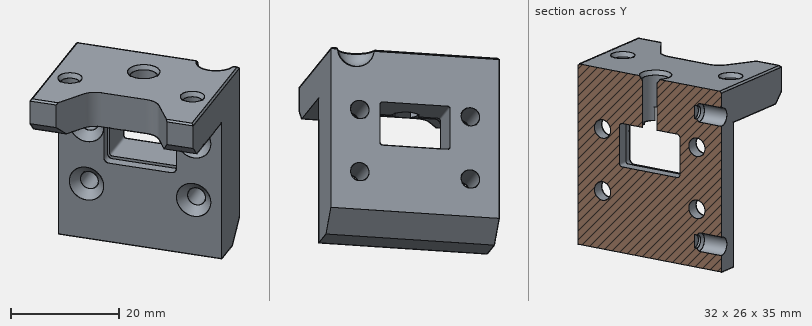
import cadquery as cq
import math

width = 32.0
arm_reach = 26.0
height = 35.0
plate_thickness = 10.0
arm_thickness = 7.0
back_bevel = 4.0
arm_tip_bevel = 2.0
top_edge_chamfer = 0.35
front_face_y = -plate_thickness

notch_mouth_width = 21.7
notch_depth = 7.0
notch_flank_angle = 57.5
notch_corner_radius = 3.5

screw_spacing_x = 21.0
screw_rows_z = (-11.75, -23.75)
screw_diameter = 3.5
screw_head_diameter = 6.72
screw_head_angle = 90.0

window_width = 13.3
window_top_z = -10.0
window_bottom_z = -18.3
window_corner_radius = 0.5
recess_width = 14.2
recess_top_z = -9.6
recess_bottom_z = -18.85
recess_corner_radius = 1.0
recess_depth = 2.0

rim_cone_angle = 60.0
center_hole_diameter = 5.04
center_hole_rim_diameter = 6.0
center_hole_y = -7.95
arm_hole_diameter = 3.5
arm_hole_rim_diameter = 4.5
arm_hole_spacing = 24.0
arm_hole_y = -15.0

side_hole_y = -6.0
side_holes_z = (-5.0, -30.0)
side_hole_diameter = 3.5
side_hole_depth = 5.0
side_pilot_diameter = 2.5
side_pilot_depth = 6.0

relief_x = 11.25
relief_y = 0.4
relief_radius = 3.5
relief_rim_width = 0.25


def bracket_body():
    """L-shaped side outline, extruded across the width, with chamfered top edges."""
    outline = [
        (0, 0),
        (-arm_reach, 0),
        (-arm_reach, arm_tip_bevel - arm_thickness),
        (arm_tip_bevel - arm_reach, -arm_thickness),
        (front_face_y, -arm_thickness),
        (front_face_y, -height),
        (-back_bevel, -height),
        (0, back_bevel - height),
    ]
    body = cq.Workplane("YZ").polyline(outline).close().extrude(width / 2, both=True)
    return body.faces(">Z").edges().chamfer(top_edge_chamfer)


def arm_notch():
    """Trapezoidal notch with rounded inner corners, open at the arm tip."""
    half_mouth = notch_mouth_width / 2
    half_floor = half_mouth - notch_depth / math.tan(math.radians(notch_flank_angle))
    floor_y = notch_depth - arm_reach
    outline = [
        (-half_mouth, -arm_reach),
        (half_mouth, -arm_reach),
        (half_floor, floor_y),
        (-half_floor, floor_y),
    ]
    notch = cq.Workplane("XY").polyline(outline).close().extrude(-arm_thickness)
    return notch.edges("|Z and >Y").fillet(notch_corner_radius)


def cone_depth(large_diameter, small_diameter, included_angle):
    return (large_diameter - small_diameter) / 2 / math.tan(math.radians(included_angle / 2))


def cone_frustum(start_diameter, end_diameter, length, start, direction):
    origin = cq.Vector(*start)
    axis = cq.Vector(*direction)
    return cq.Workplane(cq.Solid.makeCone(start_diameter / 2, end_diameter / 2, length, origin, axis))


def cylinder(diameter, length, start, direction):
    return cq.Workplane(cq.Solid.makeCylinder(diameter / 2, length, cq.Vector(*start), cq.Vector(*direction)))


def screw_hole(x, z):
    """Through hole along Y with a countersink in the front face."""
    start = (x, front_face_y, z)
    head_depth = cone_depth(screw_head_diameter, screw_diameter, screw_head_angle)
    shank = cylinder(screw_diameter, plate_thickness, start, (0, 1, 0))
    return shank.union(cone_frustum(screw_head_diameter, screw_diameter, head_depth, start, (0, 1, 0)))


def rounded_opening(opening_width, top_z, bottom_z, corner_radius, depth):
    """Rounded rectangular block reaching back from the front face."""
    block = cq.Workplane("XY").box(opening_width, depth, top_z - bottom_z)
    block = block.edges("|Y").fillet(corner_radius)
    return block.translate((0, front_face_y + depth / 2, (top_z + bottom_z) / 2))


def top_hole(x, y, diameter, rim_diameter, depth):
    """Vertical hole with a conical rim at the top face."""
    rim_depth = cone_depth(rim_diameter, diameter, rim_cone_angle)
    bore = cylinder(diameter, depth, (x, y, 0), (0, 0, -1))
    return bore.union(cone_frustum(rim_diameter, diameter, rim_depth, (x, y, 0), (0, 0, -1)))


def side_hole(z):
    """Blind hole from the -X side that tapers at 45 degrees to a short pilot bore."""
    taper = (side_hole_diameter - side_pilot_diameter) / 2
    start_x = -width / 2
    bore = cylinder(side_hole_diameter, side_hole_depth, (start_x, side_hole_y, z), (1, 0, 0))
    taper_start = (start_x + side_hole_depth, side_hole_y, z)
    cone = cone_frustum(side_hole_diameter, side_pilot_diameter, taper, taper_start, (1, 0, 0))
    pilot = cylinder(side_pilot_diameter, side_pilot_depth, (start_x, side_hole_y, z), (1, 0, 0))
    return bore.union(cone).union(pilot)


def back_relief():
    """Spherical scoop in the back top edge with a chamfered rim."""
    scoop = cq.Workplane("XY").sphere(relief_radius).translate((relief_x, relief_y, 0))
    rim_diameter = 2 * (relief_radius + relief_rim_width)
    rim_start = (relief_x, relief_y, 0)
    rim = cone_frustum(rim_diameter, 2 * relief_radius, relief_rim_width, rim_start, (0, 0, -1))
    return scoop.union(rim)


result = bracket_body().cut(arm_notch())

for side in (-1, 1):
    for row_z in screw_rows_z:
        result = result.cut(screw_hole(side * screw_spacing_x / 2, row_z))
    arm_hole_x = side * arm_hole_spacing / 2
    result = result.cut(top_hole(arm_hole_x, arm_hole_y, arm_hole_diameter, arm_hole_rim_diameter, arm_thickness))

result = result.cut(
    rounded_opening(window_width, window_top_z, window_bottom_z, window_corner_radius, plate_thickness)
)
result = result.cut(
    rounded_opening(recess_width, recess_top_z, recess_bottom_z, recess_corner_radius, recess_depth)
)
center_hole_depth = -window_top_z
result = result.cut(
    top_hole(0, center_hole_y, center_hole_diameter, center_hole_rim_diameter, center_hole_depth)
)

for hole_z in side_holes_z:
    result = result.cut(side_hole(hole_z))

result = result.cut(back_relief())